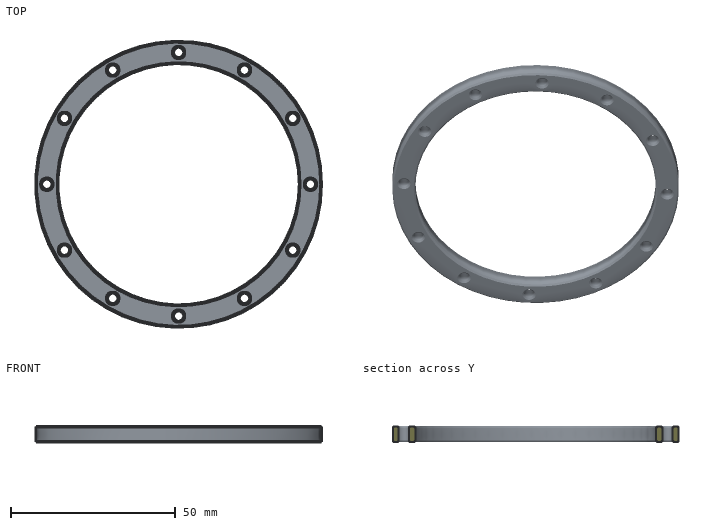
import cadquery as cq

outer_diameter = 87.0
inner_diameter = 73.0
thickness = 5.0
edge_chamfer = 0.5

hole_count = 12
hole_diameter = 3.0
countersink_diameter = 4.0
bolt_circle_diameter = (outer_diameter + inner_diameter) / 2
countersink_depth = (countersink_diameter - hole_diameter) / 2


def make_ring():
    """Flat ring with all four circular edges chamfered."""
    ring = (
        cq.Workplane("XY")
        .circle(outer_diameter / 2)
        .circle(inner_diameter / 2)
        .extrude(thickness)
    )
    return ring.faces("<Z or >Z").edges().chamfer(edge_chamfer)


def make_bolt_holes():
    """Through holes with a 45 degree countersink at both ends."""
    hole_radius = hole_diameter / 2
    countersink_radius = countersink_diameter / 2
    profile = (
        cq.Workplane("XZ")
        .moveTo(0, 0)
        .lineTo(countersink_radius, 0)
        .lineTo(hole_radius, countersink_depth)
        .lineTo(hole_radius, thickness - countersink_depth)
        .lineTo(countersink_radius, thickness)
        .lineTo(0, thickness)
        .close()
    )
    cutter = profile.revolve(360, (0, 0, 0), (0, 1, 0)).val()
    return (
        cq.Workplane("XY")
        .polarArray(bolt_circle_diameter / 2, 0, 360, hole_count)
        .eachpoint(lambda location: cutter.moved(location))
    )


result = make_ring().cut(make_bolt_holes())